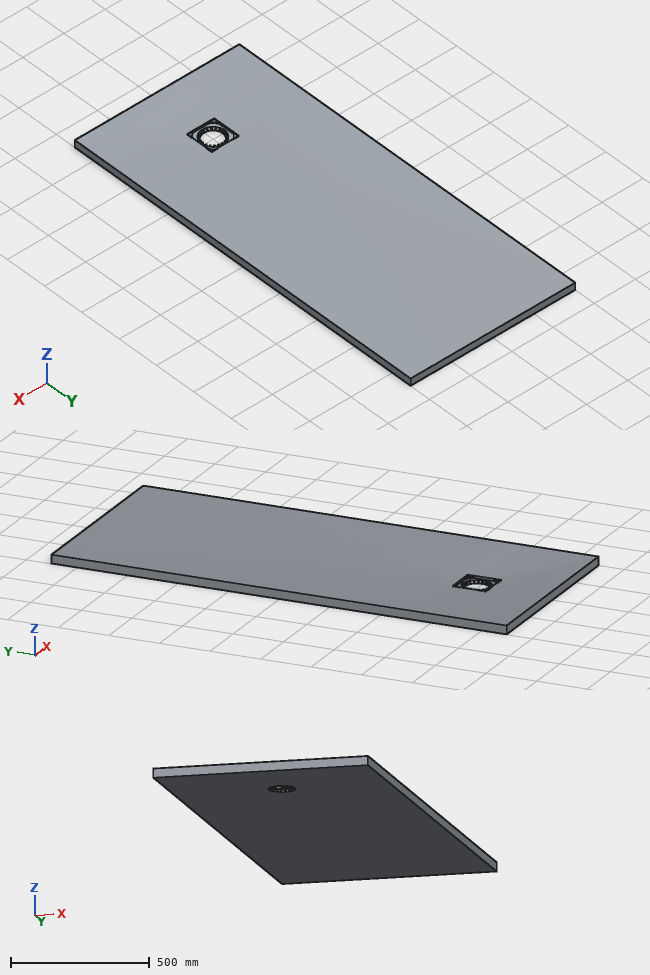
import cadquery as cq

width = 800.0
length = 1800.0
thickness = 35.0

fall = 15.0
crease_from_front = 365.0

recess_size = 131.0
recess_depth = 4.0

basin_diameter = 151.0
basin_depth = 5.0

funnel_diameter = 112.0
hole_diameter = 95.0
rib_count = 20
rib_width = 4.0
rib_overlap = 5.0

half_width = width / 2
front_y = -length / 2
back_y = length / 2
crease_y = front_y + crease_from_front
half_recess = recess_size / 2
recess_front_y = crease_y - recess_size
drain_y = crease_y - half_recess
drain_z = thickness - fall
recess_floor_z = drain_z - recess_depth
basin_floor_z = recess_floor_z - basin_depth


def polygon_edges(points):
    """Straight edges of the closed polygon through the points."""
    following = points[1:] + points[:1]
    return [cq.Edge.makeLine(cq.Vector(*a), cq.Vector(*b)) for a, b in zip(points, following)]


def flat_face(points):
    return cq.Face.makeFromWires(cq.Wire.assembleEdges(polygon_edges(points)))


def smooth_face(points):
    """Smooth dished surface spanning a closed polygon that is not planar."""
    return cq.Face.makeNSidedSurface(polygon_edges(points), [])


def dished_tray():
    """Slab with a level rim whose top falls to a flat square at the drain."""
    front_left = (-half_width, front_y, thickness)
    front_right = (half_width, front_y, thickness)
    back_left = (-half_width, back_y, thickness)
    back_right = (half_width, back_y, thickness)
    crease_left = (-half_width, crease_y, thickness)
    crease_right = (half_width, crease_y, thickness)
    drain_front_left = (-half_recess, recess_front_y, drain_z)
    drain_front_right = (half_recess, recess_front_y, drain_z)
    drain_back_left = (-half_recess, crease_y, drain_z)
    drain_back_right = (half_recess, crease_y, drain_z)

    base = [(x, y, 0) for x, y, _ in (front_left, front_right, back_right, back_left)]
    base_front_left, base_front_right, base_back_right, base_back_left = base

    faces = [
        flat_face(base),
        flat_face([base_front_left, base_front_right, front_right, front_left]),
        flat_face([base_back_left, base_back_right, back_right, back_left]),
        flat_face([base_front_left, base_back_left, back_left, crease_left, front_left]),
        flat_face([base_front_right, base_back_right, back_right, crease_right, front_right]),
        flat_face([drain_front_left, drain_front_right, drain_back_right, drain_back_left]),
        smooth_face([crease_left, drain_back_left, drain_back_right, crease_right, back_right, back_left]),
        smooth_face([
            front_left, front_right, crease_right, drain_back_right,
            drain_front_right, drain_front_left, drain_back_left, crease_left,
        ]),
    ]
    return cq.Workplane(cq.Solid.makeSolid(cq.Shell.makeShell(faces)).fix())


def drain_plane(z):
    """Horizontal workplane centred on the drain axis."""
    return cq.Workplane(origin=(0, drain_y, z))


def square_recess(floor_z):
    """Square cutter from floor_z up to the drain opening."""
    return drain_plane(floor_z).rect(recess_size, recess_size).extrude(drain_z - floor_z)


def basin():
    """Round cutter kept within the sides of the square recess."""
    disc = drain_plane(basin_floor_z).circle(basin_diameter / 2).extrude(basin_depth)
    return disc.intersect(square_recess(basin_floor_z))


def ribs():
    """Radial bars from the clear hole outwards into the funnel wall."""
    inner_radius = hole_diameter / 2
    outer_radius = funnel_diameter / 2
    middle_radius = (inner_radius + outer_radius) / 2
    bars = (
        drain_plane(0)
        .polarArray(middle_radius, 0, 360, rib_count)
        .rect(outer_radius - inner_radius + 2 * rib_overlap, rib_width)
        .extrude(basin_floor_z)
    )
    return bars.cut(drain_plane(0).circle(inner_radius).extrude(basin_floor_z))


def ribbed_funnel():
    """Cutter for the tapered drain hole, slotted so that the ribs remain."""
    cone = (
        drain_plane(0)
        .circle(hole_diameter / 2)
        .workplane(offset=basin_floor_z)
        .circle(funnel_diameter / 2)
        .loft()
    )
    return cone.cut(ribs())


result = (
    dished_tray()
    .cut(square_recess(recess_floor_z))
    .cut(basin())
    .cut(ribbed_funnel())
)